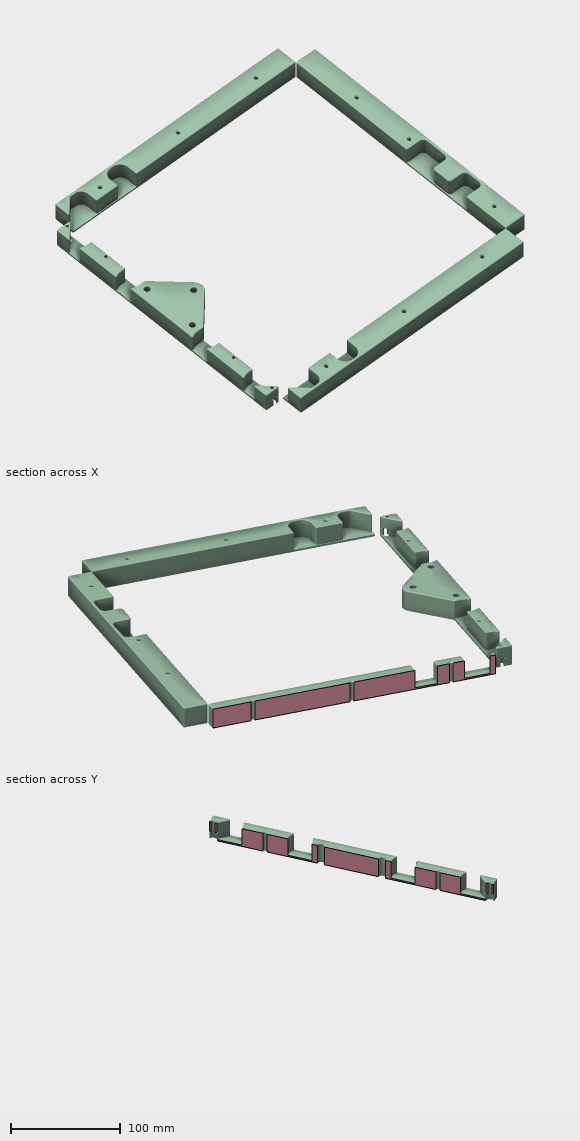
import cadquery as cq
import math

frame_width = 326.0
height = 20.0
floor_thickness = 2.0
edge_radius = 1.0
sharp_angle_cosine = 0.99

rail_width = 23.8
front_depth = 16.0
front_gap = 5.0
rail_length = frame_width - 2 * rail_width
half_length = rail_length / 2
side_start = front_depth + front_gap
back_start = side_start + rail_length
outer_wall = 3.0

rail_hole_diameter = 3.3
rail_sink_diameter = 5.2
rail_sink_angle = 90
rail_hole_offset = 13.0

side_first_hole = 44.0
side_hole_pitch = 97.5
side_hole_count = 3
side_block_length = 27.0
side_block_inset = 1.0
side_pocket_width = 22.0
side_pocket_radius = 9.5
side_corner_radius = 8.0
side_wedge_reach = 19.2

back_hole_positions = (-69.8, 0.0, 112.8)
back_pockets = ((8.0, 40.5), (63.5, 86.5))
back_pocket_radius = 5.0
back_block_inset = 1.3
back_block_radius = 3.3

front_pocket_radius = 11.5
front_pocket_center_y = 7.8
inner_pocket_center = 50.5
outer_pocket_center = 118.7
front_block_inset = 2.5
front_wedge_reach = 18.0
front_hole_diameter = 3.3
front_hole_y = 10.5
block_hole_x = 84.8
end_hole_inset = 3.5
plate_hole_diameter = 6.5
plate_hole_spacing = 60.0
plate_corner_radius = 10.0
plate_peak_y = 54.8
keyhole_bore_diameter = 7.8
keyhole_head_diameter = 10.0
keyhole_head_bottom = 7.8
keyhole_head_top = 8.8


def block(x_min, x_max, y_min, y_max, z_min=0.0, z_max=height):
    size = (x_max - x_min, y_max - y_min, z_max - z_min)
    return cq.Workplane("XY").box(*size, centered=False).translate((x_min, y_min, z_min))


def post(x, y, diameter, z_min=0.0, z_max=height):
    return cq.Workplane("XY", origin=(x, y, z_min)).circle(diameter / 2).extrude(z_max - z_min)


def is_corner(edge, solid):
    """True where the two faces at an edge meet at an angle instead of tangentially."""
    middle = edge.positionAt(0.5)
    first, second = [face.normalAt(middle) for face in edge.ancestors(solid, "Face").Faces()]
    return first.dot(second) < sharp_angle_cosine


def round_edges(body):
    """Round the upright corners, then the whole outline of the top face."""
    solid = body.val()
    uprights = [edge for edge in body.edges("|Z").vals() if edge.BoundingBox().zmax > height / 2]
    corners = [edge for edge in uprights if is_corner(edge, solid)]
    body = body.newObject(corners).fillet(edge_radius)
    return body.faces(">Z").edges().fillet(edge_radius)


def cut_rail_holes(body, points):
    return (
        body.faces(">Z").workplane(origin=(0, 0, height)).pushPoints(points)
        .cskHole(rail_hole_diameter, rail_sink_diameter, rail_sink_angle)
    )


def make_side_rail(side):
    """Side rail with its outer face at x = side * frame_width / 2."""
    block_start = side_first_hole - side_block_length / 2
    block_end = side_first_hole + side_block_length / 2
    pocket_end = block_end + side_pocket_width

    pocket = block(outer_wall, 2 * rail_width, block_end, pocket_end, floor_thickness)
    pocket = pocket.edges("|Z and <X").fillet(side_pocket_radius)

    corner_x = outer_wall + side_corner_radius
    corner_y = block_start - side_corner_radius
    diagonal = side_corner_radius * math.sqrt(0.5)
    end_pocket = (
        cq.Workplane("XY", origin=(0, 0, floor_thickness))
        .moveTo(side_wedge_reach, 0)
        .lineTo(rail_width, 0)
        .lineTo(rail_width, block_start)
        .lineTo(corner_x, block_start)
        .threePointArc((corner_x - diagonal, corner_y + diagonal), (outer_wall, corner_y))
        .lineTo(outer_wall, side_wedge_reach - outer_wall)
        .close()
        .extrude(height)
    )
    block_relief = block(rail_width - side_block_inset, rail_width, block_start, block_end, floor_thickness)

    rail = block(0, rail_width, 0, rail_length).cut(pocket).cut(end_pocket).cut(block_relief)
    rail = round_edges(rail)
    hole_points = [
        (rail_hole_offset, side_first_hole + i * side_hole_pitch) for i in range(side_hole_count)
    ]
    rail = cut_rail_holes(rail, hole_points).translate((-frame_width / 2, side_start, 0))
    return rail if side < 0 else rail.mirror("YZ")


def make_back_rail():
    rail = block(-half_length, half_length, 0, rail_width)
    for x_min, x_max in back_pockets:
        pocket = block(x_min, x_max, -rail_width, rail_width - outer_wall, floor_thickness)
        rail = rail.cut(pocket.edges("|Z and >Y").fillet(back_pocket_radius))

    block_min = back_pockets[0][1]
    block_max = back_pockets[1][0]
    relief = block(block_min, block_max, 0, rail_width / 2, floor_thickness)
    nose = block(block_min, block_max, back_block_inset, rail_width / 2, floor_thickness)
    nose = nose.edges("|Z and <Y").fillet(back_block_radius)
    rail = round_edges(rail.cut(relief).union(nose))
    hole_points = [(x, rail_width - rail_hole_offset) for x in back_hole_positions]
    return cut_rail_holes(rail, hole_points).translate((0, back_start, 0))


def make_front_rail():
    plate_half_width = inner_pocket_center - front_pocket_radius
    plate = (
        cq.Workplane("XY")
        .polyline([(-plate_half_width, 0), (-plate_half_width, front_depth), (0, plate_peak_y),
                   (plate_half_width, front_depth), (plate_half_width, 0)])
        .close()
        .extrude(height)
        .edges("|Z and >Y")
        .fillet(plate_corner_radius)
    )
    rail = block(-half_length, half_length, 0, front_depth).union(plate)

    for side in (-1, 1):
        x_min = side * inner_pocket_center - front_pocket_radius
        x_max = side * inner_pocket_center + front_pocket_radius
        pocket = block(x_min, x_max, front_pocket_center_y, front_depth, floor_thickness)
        pocket = pocket.union(
            post(side * inner_pocket_center, front_pocket_center_y, 2 * front_pocket_radius, floor_thickness)
        )

        front_half_opening = math.sqrt(front_pocket_radius**2 - front_pocket_center_y**2)
        arc_angle = math.asin(front_pocket_center_y / front_pocket_radius) / 2
        arc_middle = (
            side * (outer_pocket_center - front_pocket_radius * math.cos(arc_angle)),
            front_pocket_center_y - front_pocket_radius * math.sin(arc_angle),
        )
        block_wall = outer_pocket_center - front_pocket_radius
        diagonal_front = half_length - front_wedge_reach
        end_pocket = (
            cq.Workplane("XY", origin=(0, 0, floor_thickness))
            .moveTo(side * diagonal_front, 0)
            .lineTo(side * (diagonal_front + front_depth), front_depth)
            .lineTo(side * block_wall, front_depth)
            .lineTo(side * block_wall, front_pocket_center_y)
            .threePointArc(arc_middle, (side * (outer_pocket_center - front_half_opening), 0))
            .close()
            .extrude(height)
        )

        relief_ends = sorted((side * inner_pocket_center, side * outer_pocket_center))
        relief = block(*relief_ends, front_depth - front_block_inset, front_depth, floor_thickness)
        rail = rail.cut(pocket).cut(end_pocket).cut(relief)
    rail = round_edges(rail)

    half_spacing = plate_hole_spacing / 2
    for side in (-1, 1):
        end_x = side * (half_length - end_hole_inset)
        rail = rail.cut(post(side * block_hole_x, front_hole_y, front_hole_diameter))
        rail = rail.cut(post(side * half_spacing, front_hole_y, plate_hole_diameter))
        rail = rail.cut(post(end_x, front_hole_y, front_hole_diameter))
        rail = rail.cut(post(end_x, front_hole_y, keyhole_bore_diameter, 0, keyhole_head_bottom))
        rail = rail.cut(
            post(end_x, front_hole_y, keyhole_head_diameter, keyhole_head_bottom, keyhole_head_top)
        )
    return rail.cut(post(0, front_hole_y + half_spacing, plate_hole_diameter))


side_rails = [make_side_rail(side) for side in (-1, 1)]
back_rail = make_back_rail()
front_rail = make_front_rail()

result = cq.Compound.makeCompound([
    *[rail.val() for rail in side_rails],
    back_rail.val(),
    front_rail.val(),
])